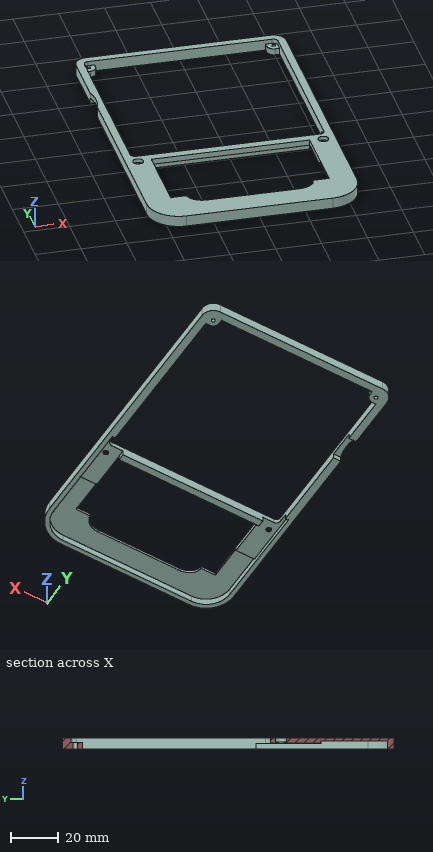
import cadquery as cq

WIDTH = 91.77
LENGTH = 143.47
THICKNESS = 5.0
TOP_CORNER_RADIUS = 5.6
BOTTOM_CORNER_RADIUS = 14.0
HALF_WIDTH = WIDTH / 2
HALF_LENGTH = LENGTH / 2

RIM = 3.7
DISPLAY_SIZE = WIDTH - 2 * RIM
DISPLAY_TOP = HALF_LENGTH - RIM
DISPLAY_BOTTOM = DISPLAY_TOP - DISPLAY_SIZE
DISPLAY_CORNER_RADIUS = 2.0

CROSSBAR = 4.2
LOWER_WIDTH = 69.0
LOWER_HEIGHT = 34.0
LOWER_TOP = DISPLAY_BOTTOM - CROSSBAR
LOWER_BOTTOM = LOWER_TOP - LOWER_HEIGHT
RECESS_WIDTH = 54.8
RECESS_DEPTH = 5.7
RECESS_END_LENGTH = 7.4

PLATE = 2.5
THIN_PLATE = 1.5
POCKET_WALL = 2.2
POCKET_TOP = -10.3
THIN_PLATE_TOP = LOWER_TOP - 17.2
POCKET_CORNER_RADIUS = BOTTOM_CORNER_RADIUS - POCKET_WALL

RIB_LENGTH = 69.4
RIB_WIDTH = 3.3

SCREW_X = 40.4
BOSS_Y = 66.2
BOSS_RADIUS = 3.1
BOSS_HEIGHT = 3.0
BOSS_HOLE_DIAMETER = 1.6
COUNTERBORE_Y = -20.9
SCREW_HOLE_DIAMETER = 2.2
COUNTERBORE_DIAMETER = 4.4
COUNTERBORE_DEPTH = 1.8

PORT_Y = 35.0
PORT_WIDTH = 12.4
PORT_HEIGHT = 2.5
SCOOP_DEPTH = 1.1


def block(x_min, x_max, y_min, y_max, z_min, z_max):
    """Box given by its limits along each axis."""
    box = cq.Workplane("XY").box(x_max - x_min, y_max - y_min, z_max - z_min, centered=False)
    return box.translate((x_min, y_min, z_min))


def centred_block(width, y_min, y_max, z_min, z_max):
    """Box that is symmetric about the YZ plane."""
    return block(-width / 2, width / 2, y_min, y_max, z_min, z_max)


def cylinder(x, y, diameter, z_min, z_max):
    """Upright cylinder."""
    disc = cq.Workplane("XY", origin=(x, y, z_min)).circle(diameter / 2)
    return disc.extrude(z_max - z_min)


def outer_body():
    body = centred_block(WIDTH, -HALF_LENGTH, HALF_LENGTH, 0, THICKNESS)
    body = body.edges("|Z and >Y").fillet(TOP_CORNER_RADIUS)
    return body.edges("|Z and <Y").fillet(BOTTOM_CORNER_RADIUS)


def display_window():
    window = centred_block(DISPLAY_SIZE, DISPLAY_BOTTOM, DISPLAY_TOP, 0, THICKNESS)
    return window.edges("|Z").fillet(DISPLAY_CORNER_RADIUS)


def lower_window():
    window = centred_block(LOWER_WIDTH, LOWER_BOTTOM, LOWER_TOP, 0, THICKNESS)
    end_x = RECESS_WIDTH / 2 - RECESS_END_LENGTH
    recess_floor = LOWER_BOTTOM - RECESS_DEPTH
    recess = centred_block(2 * end_x, recess_floor, LOWER_BOTTOM, 0, THICKNESS)
    recess_ends = (
        cq.Workplane("XY")
        .pushPoints([(-end_x, LOWER_BOTTOM), (end_x, LOWER_BOTTOM)])
        .ellipse(RECESS_END_LENGTH, RECESS_DEPTH)
        .extrude(THICKNESS)
    )
    return window.union(recess).union(recess_ends)


def pocket_level(y_max, ceiling):
    """Part of the pocket below y_max, running parallel to the outer outline."""
    width = WIDTH - 2 * POCKET_WALL
    level = centred_block(width, -HALF_LENGTH + POCKET_WALL, y_max, 0, ceiling)
    return level.edges("|Z and <Y").fillet(POCKET_CORNER_RADIUS)


def underside_pocket():
    shallow = pocket_level(POCKET_TOP, THICKNESS - PLATE)
    deep = pocket_level(THIN_PLATE_TOP, THICKNESS - THIN_PLATE)
    rib = centred_block(RIB_LENGTH, DISPLAY_BOTTOM - RIB_WIDTH, DISPLAY_BOTTOM, 0, THICKNESS)
    return shallow.union(deep).cut(rib)


def corner_boss(side):
    """Round-cornered boss filling a top corner of the display window."""
    inner_x = side * (SCREW_X - BOSS_RADIUS)
    outer_x = side * (HALF_WIDTH - RIM / 2)
    x_min = min(inner_x, outer_x)
    x_max = max(inner_x, outer_x)
    boss = block(x_min, x_max, BOSS_Y - BOSS_RADIUS, HALF_LENGTH - RIM / 2, 0, BOSS_HEIGHT)
    inner_edge = "|Z and <Y and " + ("<X" if side > 0 else ">X")
    return boss.edges(inner_edge).fillet(BOSS_RADIUS)


def counterbored_hole(side):
    x = side * SCREW_X
    hole = cylinder(x, COUNTERBORE_Y, SCREW_HOLE_DIAMETER, 0, THICKNESS)
    floor = THICKNESS - COUNTERBORE_DEPTH
    return hole.union(cylinder(x, COUNTERBORE_Y, COUNTERBORE_DIAMETER, floor, THICKNESS))


def port():
    y_min = PORT_Y - PORT_WIDTH / 2
    y_max = PORT_Y + PORT_WIDTH / 2
    slot = block(-HALF_WIDTH, -HALF_WIDTH + RIM, y_min, y_max, 0, PORT_HEIGHT)
    scoop = (
        cq.Workplane("XY")
        .moveTo(-HALF_WIDTH, y_min)
        .threePointArc((-HALF_WIDTH + SCOOP_DEPTH, PORT_Y), (-HALF_WIDTH, y_max))
        .close()
        .extrude(THICKNESS)
    )
    return slot.union(scoop)


result = outer_body().cut(display_window()).cut(underside_pocket()).cut(lower_window()).cut(port())
for side in (-1, 1):
    result = result.union(corner_boss(side))
    result = result.cut(cylinder(side * SCREW_X, BOSS_Y, BOSS_HOLE_DIAMETER, 0, BOSS_HEIGHT))
    result = result.cut(counterbored_hole(side))